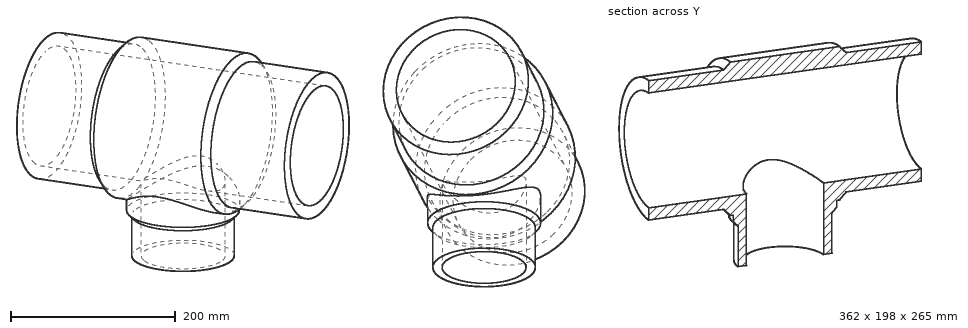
import cadquery as cq

run_length = 362.0
run_diameter = 180.0
run_bore = 147.5

body_length = 163.0
body_diameter = 198.0
body_chamfer = (body_diameter - run_diameter) / 2

total_height = 265.0
branch_reach = total_height - body_diameter / 2
branch_diameter = 125.0
branch_bore = 102.0
collar_diameter = 137.5
collar_reach = 114.0
collar_chamfer = (collar_diameter - branch_diameter) / 2


def run_cylinder(diameter, length):
    """Cylinder along X, centred on the origin."""
    return cq.Workplane("YZ", origin=(-length / 2, 0, 0)).circle(diameter / 2).extrude(length)


def branch_cylinder(diameter, reach):
    """Cylinder from the run axis down to the given reach."""
    return cq.Workplane("XY").circle(diameter / 2).extrude(-reach)


body = run_cylinder(body_diameter, body_length).edges().chamfer(body_chamfer)
collar = branch_cylinder(collar_diameter, collar_reach).faces("<Z").edges().chamfer(collar_chamfer)

outside = (
    run_cylinder(run_diameter, run_length)
    .union(body)
    .union(collar)
    .union(branch_cylinder(branch_diameter, branch_reach))
)

result = (
    outside
    .cut(run_cylinder(run_bore, run_length))
    .cut(branch_cylinder(branch_bore, branch_reach))
)